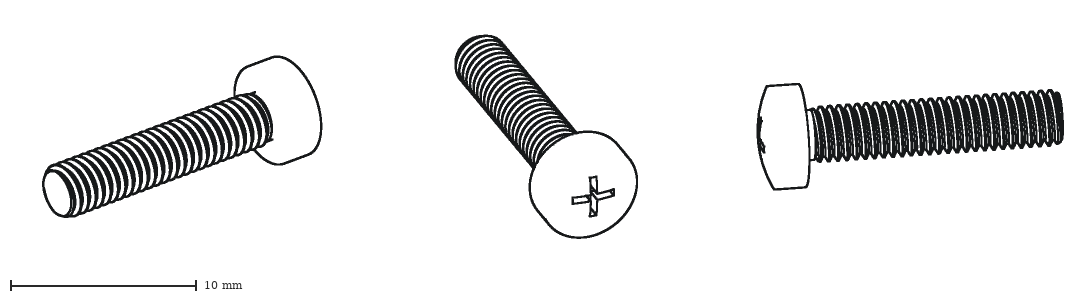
import cadquery as cq
import math

total_length = 16.38
head_diameter = 5.6
head_height = 2.38
dome_height = 0.67
head_edge_fillet = 0.07
rim_fillet = 0.05

neck_radius = 1.36
neck_length = 0.54
neck_fillet = 0.07

thread_diameter = 3.0
core_radius = 1.23
pitch = thread_diameter / 6
crest_width = pitch / 8
flank_angle = math.radians(30)
runout_length = 0.38
tip_radius = 1.3
tip_chamfer_length = 0.36
first_crest = 0.02
root_overlap = 0.05
envelope_radius = 1.6

recess_span = 2.39
recess_arm_width = 0.38
recess_depth = 0.98

head_radius = head_diameter / 2
thread_radius = thread_diameter / 2
shank_length = total_length - head_height
tip_y = -shank_length
rim_y = head_height - dome_height


def make_head_and_neck():
    """Domed head with a short plain neck, revolved about Y."""
    corner_radius = recess_arm_width / math.sqrt(2)
    center_y = (corner_radius**2 + head_height**2 - head_radius**2 - rim_y**2) / (2 * dome_height)
    dome_sphere_radius = math.hypot(head_radius, rim_y - center_y)
    mid_x = head_radius / 2
    mid_y = center_y + math.sqrt(dome_sphere_radius**2 - mid_x**2)
    apex_y = center_y + dome_sphere_radius
    profile = (
        cq.Workplane("XY")
        .moveTo(0, -neck_length)
        .lineTo(neck_radius, -neck_length)
        .lineTo(neck_radius, -neck_fillet)
        .radiusArc((neck_radius + neck_fillet, 0), neck_fillet)
        .lineTo(head_radius - head_edge_fillet, 0)
        .radiusArc((head_radius, head_edge_fillet), -head_edge_fillet)
        .lineTo(head_radius, rim_y)
        .threePointArc((mid_x, mid_y), (0, apex_y))
        .close()
    )
    head = profile.revolve(360, (0, 0), (0, 1))
    rim_zone = cq.selectors.BoxSelector(
        (-head_diameter, rim_y - rim_fillet, -head_diameter),
        (head_diameter, rim_y + rim_fillet, head_diameter),
        boundingbox=True,
    )
    return head.edges(rim_zone).fillet(rim_fillet)


def make_overlong_thread():
    """Core with a trapezoidal right-hand ridge, running past both ends of the thread."""
    base_radius = core_radius - root_overlap
    crest_half = crest_width / 2
    base_half = crest_half + (thread_radius - base_radius) * math.tan(flank_angle)
    start_y = tip_y + first_crest - pitch
    turns = math.ceil((shank_length - neck_length) / pitch) + 2
    helix = cq.Wire.makeHelix(pitch, turns * pitch, base_radius)
    ridge = (
        cq.Workplane("XZ")
        .polyline(
            [
                (base_radius, -base_half),
                (thread_radius, -crest_half),
                (thread_radius, crest_half),
                (base_radius, base_half),
            ]
        )
        .close()
        .sweep(cq.Workplane(helix), isFrenet=True)
        .rotate((0, 0, 0), (1, 0, 0), -90)
        .translate((0, start_y, 0))
    )
    core_length = (turns + 2) * pitch
    core = cq.Workplane("XZ", origin=(0, start_y - pitch, 0)).circle(core_radius).extrude(-core_length)
    return core.union(ridge)


def make_thread_envelope():
    """Spindle that trims the thread: chamfer cone at the tip, runout cone at the neck."""
    chamfer_slope = tip_chamfer_length / (thread_radius - tip_radius)
    runout_slope = runout_length / (thread_radius - neck_radius)
    return (
        cq.Workplane("XY")
        .moveTo(0, tip_y)
        .lineTo(tip_radius, tip_y)
        .lineTo(envelope_radius, tip_y + (envelope_radius - tip_radius) * chamfer_slope)
        .lineTo(envelope_radius, -neck_length - (envelope_radius - neck_radius) * runout_slope)
        .lineTo(neck_radius, -neck_length)
        .lineTo(0, -neck_length)
        .close()
        .revolve(360, (0, 0), (0, 1))
    )


def make_cross_recess():
    """Two crossed slots sunk into the top of the dome."""
    floor_y = head_height - recess_depth
    slot_height = recess_depth + dome_height
    slot = cq.Workplane("XZ", origin=(0, floor_y, 0))
    along_x = slot.rect(recess_span, recess_arm_width).extrude(-slot_height)
    along_z = slot.rect(recess_arm_width, recess_span).extrude(-slot_height)
    return along_x.union(along_z)


threaded_shank = make_overlong_thread().intersect(make_thread_envelope())
result = threaded_shank.union(make_head_and_neck()).cut(make_cross_recess())